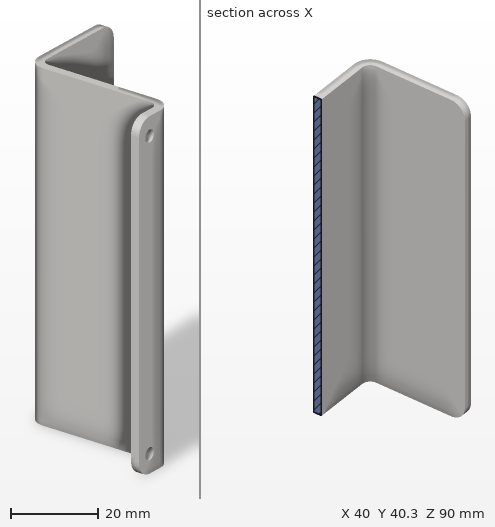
import cadquery as cq

width = 40.0
height = 90.0
thickness = 2.3
inner_bend_radius = 2.3
wide_flange = 30.0
narrow_flange = 10.3
corner_radius = 4.0
hole_diameter = 3.2
hole_edge_distance = 4.0
hole_spacing = 80.0

outer_bend_radius = inner_bend_radius + thickness

wide_edge_y = wide_flange
narrow_edge_y = -narrow_flange


def bent_sheet():
    """Z-shaped sheet profile with sharp bends, extruded and then rounded at both bends."""
    profile = (
        cq.Workplane("XY")
        .moveTo(0, wide_edge_y)
        .lineTo(0, 0)
        .lineTo(width - thickness, 0)
        .lineTo(width - thickness, narrow_edge_y)
        .lineTo(width, narrow_edge_y)
        .lineTo(width, thickness)
        .lineTo(thickness, thickness)
        .lineTo(thickness, wide_edge_y)
        .close()
    )
    sheet = profile.extrude(height)
    for bend_x, bend_y, radius in (
        (0, 0, outer_bend_radius),
        (thickness, thickness, inner_bend_radius),
        (width, thickness, outer_bend_radius),
        (width - thickness, 0, inner_bend_radius),
    ):
        bend_edge = cq.selectors.NearestToPointSelector((bend_x, bend_y, height / 2))
        sheet = sheet.edges("|Z").edges(bend_edge).fillet(radius)
    return sheet


def round_free_corners(sheet):
    """Round the top and bottom corners of both flanges."""
    for free_end in (">Y", "<Y"):
        sheet = sheet.faces(free_end).edges("|X").fillet(corner_radius)
    return sheet


def flange_holes():
    """Cutters for the two holes through the narrow flange, along X."""
    return (
        cq.Workplane("YZ", origin=(width - thickness, narrow_edge_y + hole_edge_distance, height / 2))
        .rarray(1, hole_spacing, 1, 2)
        .circle(hole_diameter / 2)
        .extrude(thickness)
    )


result = round_free_corners(bent_sheet()).cut(flange_holes())